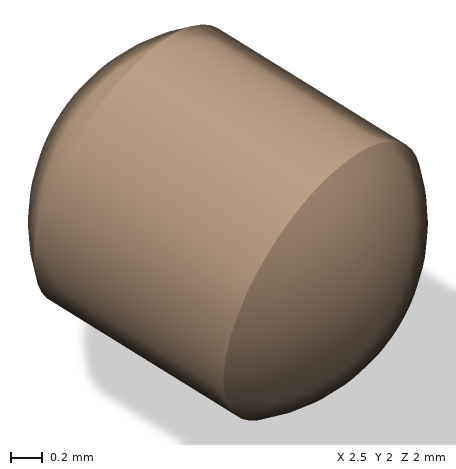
import cadquery as cq
import math

length = 2.5
diameter = 2.0

dome_radius = length / 2
pin_radius = diameter / 2

straight_half = math.sqrt(dome_radius**2 - pin_radius**2)

arc_angle = math.asin(pin_radius / dome_radius) / 2
arc_mid_x = dome_radius * math.cos(arc_angle)
arc_mid_y = -dome_radius * math.sin(arc_angle)

profile = (
    cq.Workplane("XY")
    .moveTo(-dome_radius, 0)
    .threePointArc((-arc_mid_x, arc_mid_y), (-straight_half, -pin_radius))
    .lineTo(straight_half, -pin_radius)
    .threePointArc((arc_mid_x, arc_mid_y), (dome_radius, 0))
    .close()
)

result = profile.revolve(360, (0, 0, 0), (1, 0, 0))